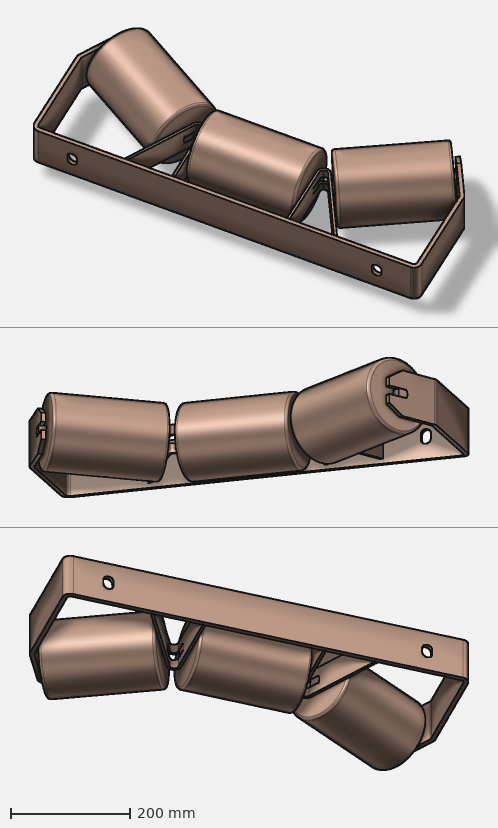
import cadquery as cq
import math


ROLLER_DIAMETER = 133.0
ROLLER_LENGTH = 200.0
ROLLER_EDGE_RADIUS = 5.0
ROLLER_GAP = 4.5
AXLE_DIAMETER = 20.0
AXLE_FLAT_WIDTH = 14.0
WING_ANGLE = 30.0
CENTRE_AXIS_Y = 125.0
CENTRE_AXIS_Z = -6.75
SLOT_WIDTH = 15.0

FRAME_WIDTH = 720.0
FRAME_HEIGHT = 80.0
FRAME_THICKNESS = 8.0
FRAME_CORNER_RADIUS = 14.0
EAR_BEND_RADIUS = 16.0
EAR_BEND_Y = 180.0
EAR_LENGTH = 104.0
EAR_TIP_CUT_Z = 17.0
EAR_TIP_CUT_ANGLE = 30.0
EAR_TIP_CUT_LENGTH = EAR_TIP_CUT_Z / math.tan(math.radians(EAR_TIP_CUT_ANGLE))
MOUNT_HOLE_X = 283.0
MOUNT_HOLE_WIDTH = 18.0
MOUNT_HOLE_HEIGHT = 26.0

BRACKET_HEIGHT = 50.0
BRACKET_THICKNESS = 5.0
BRACKET_BEND_RADIUS = 12.5
BRACKET_BEND_Y = 140.0

SIN_WING = math.sin(math.radians(WING_ANGLE))
COS_WING = math.cos(math.radians(WING_ANGLE))
OUTWARD = cq.Vector(-COS_WING, SIN_WING, 0)
UPWARD = cq.Vector(SIN_WING, COS_WING, 0)

BRACKET_FACE_X = -(ROLLER_LENGTH / 2 + ROLLER_GAP)
FOLD_CENTRE = cq.Vector(BRACKET_FACE_X - BRACKET_BEND_RADIUS, BRACKET_BEND_Y, 0)
EAR_CORNER = cq.Vector(-FRAME_WIDTH / 2, EAR_BEND_Y, 0)

WING_INNER_FACE = FOLD_CENTRE.dot(OUTWARD) + BRACKET_BEND_RADIUS
WING_OUTER_FACE = EAR_CORNER.dot(OUTWARD) - FRAME_THICKNESS
WING_AXIS_UP = 49.4
WING_SPAN = WING_OUTER_FACE - WING_INNER_FACE
WING_TILT = math.degrees(math.atan(-CENTRE_AXIS_Z / WING_SPAN))
WING_CENTRE = (
    OUTWARD * ((WING_INNER_FACE + WING_OUTER_FACE) / 2)
    + UPWARD * WING_AXIS_UP
    + cq.Vector(0, 0, CENTRE_AXIS_Z / 2)
)


def mirrored(shape):
    return shape.mirror("YZ")


def axle_profile(width, top):
    """Section in YZ: arc of the axle below, parallel flats, straight top."""
    radius = AXLE_DIAMETER / 2
    flat = width / 2
    arc_end = -math.sqrt(radius**2 - flat**2)
    return (
        cq.Workplane("YZ")
        .moveTo(top, -flat)
        .lineTo(arc_end, -flat)
        .threePointArc((-radius, 0), (arc_end, flat))
        .lineTo(top, flat)
        .close()
    )


def axle_bar(x_start, x_end, width=AXLE_FLAT_WIDTH, top=AXLE_DIAMETER / 2):
    return axle_profile(width, top).extrude(x_end - x_start).translate((x_start, 0, 0))


def slot_cutter(x_start, x_end):
    """Slot that fits under the axle and runs out past the plate above it."""
    open_top = 2 * AXLE_DIAMETER + ROLLER_DIAMETER / 2
    return axle_bar(x_start, x_end, SLOT_WIDTH, open_top)


def roller(axle_start, axle_end):
    """Roller along X about the origin, with its axle running between two X positions."""
    drum = (
        cq.Workplane("YZ", origin=(-ROLLER_LENGTH / 2, 0, 0))
        .circle(ROLLER_DIAMETER / 2)
        .extrude(ROLLER_LENGTH)
        .edges("%CIRCLE")
        .fillet(ROLLER_EDGE_RADIUS)
    )
    return drum.union(axle_bar(axle_start, axle_end))


def place_centre(shape):
    return shape.translate((0, CENTRE_AXIS_Y, CENTRE_AXIS_Z))


def place_left_wing(shape):
    tilted = shape.rotate((0, 0, 0), (0, 1, 0), WING_TILT)
    return tilted.rotate((0, 0, 0), (0, 0, 1), -WING_ANGLE).translate(WING_CENTRE)


def strip_half():
    """Left half of the strip in plan, front wall, side wall and ear, with its bends."""
    t = FRAME_THICKNESS
    left = -FRAME_WIDTH / 2
    tip = EAR_CORNER + UPWARD * EAR_LENGTH
    inner_tip = tip - OUTWARD * t
    inner_corner_y = EAR_BEND_Y - t * math.tan(math.radians(WING_ANGLE / 2))
    half = (
        cq.Workplane("XY")
        .polyline([
            (0, 0), (left, 0), (left, EAR_BEND_Y), (tip.x, tip.y),
            (inner_tip.x, inner_tip.y), (left + t, inner_corner_y), (left + t, t), (0, t),
        ])
        .close()
        .extrude(FRAME_HEIGHT / 2, both=True)
    )

    def round_bend(body, outer, inner, outside_radius):
        body = body.edges(cq.NearestToPointSelector((*outer, 0))).fillet(outside_radius)
        return body.edges(cq.NearestToPointSelector((*inner, 0))).fillet(outside_radius - t)

    half = round_bend(half, (left, 0), (left + t, t), FRAME_CORNER_RADIUS)
    return round_bend(half, (left, EAR_BEND_Y), (left + t, inner_corner_y), EAR_BEND_RADIUS)


def ear_tip_cuts():
    """Wedges that slope the top and bottom corners of the left ear."""
    tip = EAR_CORNER + UPWARD * EAR_LENGTH
    ear_plane = cq.Plane(origin=tip.toTuple(), xDir=UPWARD.toTuple(), normal=OUTWARD.toTuple())
    cuts = cq.Workplane("XY")
    for side in (1, -1):
        edge = side * FRAME_HEIGHT / 2
        wedge = (
            cq.Workplane(ear_plane)
            .polyline([(0, edge), (-EAR_TIP_CUT_LENGTH, edge), (0, edge - side * EAR_TIP_CUT_Z)])
            .close()
            .extrude(2 * FRAME_THICKNESS, both=True)
        )
        cuts = cuts.add(wedge)
    return cuts.combine()


def mount_hole():
    return (
        cq.Workplane("XZ")
        .center(-MOUNT_HOLE_X, 0)
        .slot2D(MOUNT_HOLE_HEIGHT, MOUNT_HOLE_WIDTH, 90)
        .extrude(-FRAME_THICKNESS)
    )


def bracket():
    """Left bracket: an upright leg folded over into a leg that follows the wing."""
    foot_y = FRAME_THICKNESS
    outer_radius = BRACKET_BEND_RADIUS
    inner_radius = outer_radius - BRACKET_THICKNESS
    bisector = (cq.Vector(1, 0, 0) + OUTWARD).normalized()

    def fold_points(radius):
        upright = FOLD_CENTRE + cq.Vector(radius, 0, 0)
        crest = FOLD_CENTRE + bisector * radius
        slanted = FOLD_CENTRE + OUTWARD * radius
        foot = slanted - UPWARD * ((slanted.y - foot_y) / UPWARD.y)
        return [(p.x, p.y) for p in (upright, crest, slanted, foot)]

    upright_out, crest_out, slanted_out, foot_out = fold_points(outer_radius)
    upright_in, crest_in, slanted_in, foot_in = fold_points(inner_radius)
    return (
        cq.Workplane("XY")
        .moveTo(upright_out[0], foot_y)
        .lineTo(*upright_out)
        .threePointArc(crest_out, slanted_out)
        .lineTo(*foot_out)
        .lineTo(*foot_in)
        .lineTo(*slanted_in)
        .threePointArc(crest_in, upright_in)
        .lineTo(upright_in[0], foot_y)
        .close()
        .extrude(BRACKET_HEIGHT / 2, both=True)
        .translate((0, 0, CENTRE_AXIS_Z))
    )


half_length = ROLLER_LENGTH / 2
half_span = WING_SPAN / 2
centre_reach = half_length + ROLLER_GAP + BRACKET_THICKNESS

centre_slot = place_centre(slot_cutter(FOLD_CENTRE.x, -half_length))
wing_slots = place_left_wing(
    slot_cutter(half_length, half_span + BRACKET_BEND_RADIUS)
    .union(slot_cutter(-half_span - 2 * FRAME_THICKNESS, -half_length))
)

left_support = (
    strip_half()
    .cut(ear_tip_cuts())
    .cut(mount_hole())
    .union(bracket())
    .cut(centre_slot)
    .cut(wing_slots)
)
centre_roller = place_centre(roller(-centre_reach, centre_reach))
frame = left_support.union(mirrored(left_support)).union(centre_roller, clean=False)

left_wing_roller = place_left_wing(roller(-half_span - FRAME_THICKNESS, half_span + BRACKET_THICKNESS))
wing_rollers = [left_wing_roller, mirrored(left_wing_roller)]

result = cq.Compound.makeCompound([frame.val(), *[wing.val() for wing in wing_rollers]])